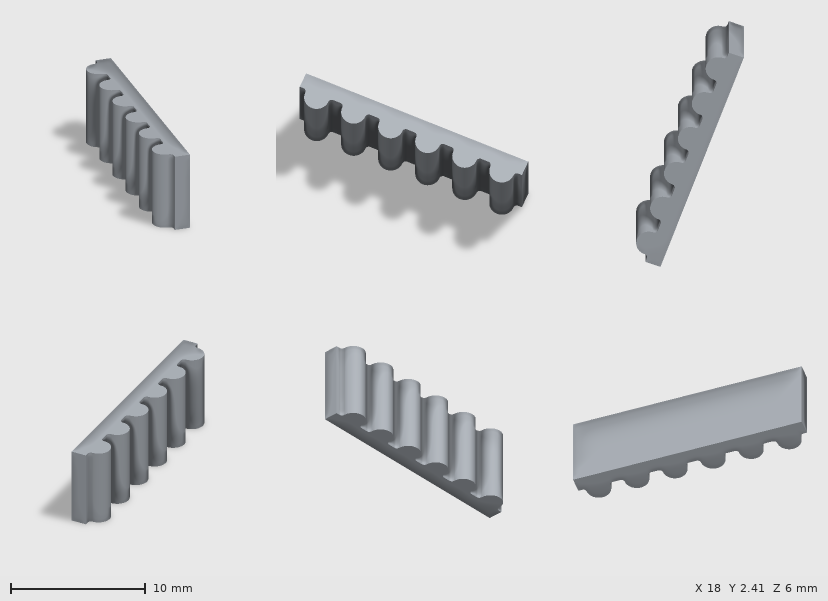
import cadquery as cq

belt_length = 18.0
belt_width = 6.0
total_thickness = 2.41
tooth_count = 6
tooth_radius = 0.94
root_fillet = 0.27
back_thickness = 1.19

pitch = belt_length / tooth_count
tip_y = -total_thickness
root_y = -back_thickness
flank_top_y = root_y - root_fillet
tip_center_y = tip_y + tooth_radius


def add_tooth(outline, center_x):
    """Continue the outline along +X around one tooth with concave root fillets."""
    left_x = center_x - tooth_radius
    right_x = center_x + tooth_radius
    return (
        outline.lineTo(left_x - root_fillet, root_y)
        .radiusArc((left_x, flank_top_y), root_fillet)
        .lineTo(left_x, tip_center_y)
        .threePointArc((center_x, tip_y), (right_x, tip_center_y))
        .lineTo(right_x, flank_top_y)
        .radiusArc((right_x + root_fillet, root_y), root_fillet)
    )


profile = cq.Workplane("XY").moveTo(0, 0).lineTo(0, root_y)
for tooth in range(tooth_count):
    profile = add_tooth(profile, (tooth + 0.5) * pitch)
profile = profile.lineTo(belt_length, root_y).lineTo(belt_length, 0).close()

result = profile.extrude(belt_width)